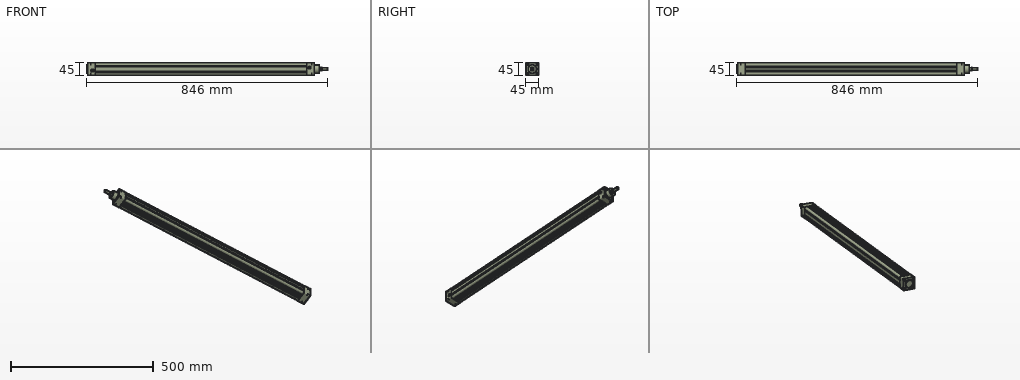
import cadquery as cq

TOTAL_LENGTH = 846.0
BODY_WIDTH = 45.0
REAR_BOSS_LENGTH = 3.0
REAR_BOSS_CHAMFER = 1.0
CAP_LENGTH = 26.0
TUBE_LENGTH = 743.0
FRONT_BOSS_LENGTH = 18.0
BOSS_DIAMETER = 30.0

CAP_CORNER_RADIUS = 4.0
MOUNT_HOLE_SPACING = 32.0
MOUNT_HOLE_DIAMETER = 6.0
MOUNT_HOLE_DEPTH = 10.0
PORT_DIAMETER = 8.5
PORT_DEPTH = 8.5
PORT_FROM_TUBE = 9.0
PORT_OFFSET = 5.0
SCREW_DIAMETER = 3.0
SCREW_DEPTH = 2.5
SCREW_FROM_TUBE = 13.5

TUBE_CORNER_RADIUS = 6.0
SLOT_WIDTH = 5.0
SLOT_DEPTH = 2.5
SLOT_OFFSET = 7.0
GROOVE_WIDTH = 4.0
GROOVE_OFFSET = 10.0

ROD_DIAMETER = 12.0
THREAD_DIAMETER = 10.0
THREAD_LENGTH = 20.0
THREAD_CHAMFER = 2.0
SHOULDER_LENGTH = 2.0
SHOULDER_CHAMFER = 1.0
FLAT_LENGTH = 8.0
FLAT_DEPTH = 0.7

TUBE_START = REAR_BOSS_LENGTH + CAP_LENGTH
TUBE_END = TUBE_START + TUBE_LENGTH
FRONT_CAP_END = TUBE_END + CAP_LENGTH
FRONT_BOSS_END = FRONT_CAP_END + FRONT_BOSS_LENGTH
HALF_WIDTH = BODY_WIDTH / 2


def square_bar(start, length):
    """Square bar along X of the full body width."""
    return (
        cq.Workplane("YZ", origin=(start, 0, 0))
        .rect(BODY_WIDTH, BODY_WIDTH)
        .extrude(length)
    )


def x_cylinder(start, length, diameter):
    """Round bar along X, centred on the cylinder axis."""
    return cq.Workplane("YZ", origin=(start, 0, 0)).circle(diameter / 2).extrude(length)


def mount_holes(outer_face, direction):
    """Four blind corner holes going into a cap from its outer end face."""
    return (
        cq.Workplane("YZ", origin=(outer_face, 0, 0))
        .rect(MOUNT_HOLE_SPACING, MOUNT_HOLE_SPACING, forConstruction=True)
        .vertices()
        .circle(MOUNT_HOLE_DIAMETER / 2)
        .extrude(direction * MOUNT_HOLE_DEPTH)
    )


def side_hole(x, z, diameter, depth):
    """Blind hole drilled into the -Y side."""
    return cq.Workplane("XZ", origin=(x, -HALF_WIDTH, z)).circle(diameter / 2).extrude(-depth)


def make_rear_cap():
    """Closed end cap with a short centring boss, an air port and a small screw hole beside it."""
    cap = square_bar(REAR_BOSS_LENGTH, CAP_LENGTH).edges("|X").fillet(CAP_CORNER_RADIUS)
    boss = x_cylinder(0, REAR_BOSS_LENGTH, BOSS_DIAMETER).faces("<X").chamfer(REAR_BOSS_CHAMFER)
    cap = cap.union(boss)
    cap = cap.cut(mount_holes(REAR_BOSS_LENGTH, 1))
    cap = cap.cut(side_hole(TUBE_START - PORT_FROM_TUBE, -PORT_OFFSET, PORT_DIAMETER, PORT_DEPTH))
    return cap.cut(side_hole(TUBE_START - SCREW_FROM_TUBE, -PORT_OFFSET, SCREW_DIAMETER, SCREW_DEPTH))


def make_front_cap():
    """Bearing cap with a long boss, an air port and a through bore for the rod."""
    cap = square_bar(TUBE_END, CAP_LENGTH).edges("|X").fillet(CAP_CORNER_RADIUS)
    cap = cap.union(x_cylinder(FRONT_CAP_END, FRONT_BOSS_LENGTH, BOSS_DIAMETER))
    cap = cap.cut(mount_holes(FRONT_CAP_END, -1))
    cap = cap.cut(side_hole(TUBE_END + PORT_FROM_TUBE, PORT_OFFSET, PORT_DIAMETER, PORT_DEPTH))
    return cap.cut(x_cylinder(TUBE_END, FRONT_BOSS_END - TUBE_END, ROD_DIAMETER))


def make_tube():
    """Profile tube with two flat slots above and below and two round grooves on each side."""
    tube = square_bar(TUBE_START, TUBE_LENGTH).edges("|X").fillet(TUBE_CORNER_RADIUS)
    profile = cq.Workplane("YZ", origin=(TUBE_START, 0, 0))
    for side in (-1, 1):
        slots = (
            profile.pushPoints([(-SLOT_OFFSET, side * HALF_WIDTH), (SLOT_OFFSET, side * HALF_WIDTH)])
            .rect(SLOT_WIDTH, 2 * SLOT_DEPTH)
            .extrude(TUBE_LENGTH)
        )
        grooves = (
            profile.pushPoints([(side * HALF_WIDTH, -GROOVE_OFFSET), (side * HALF_WIDTH, GROOVE_OFFSET)])
            .circle(GROOVE_WIDTH / 2)
            .extrude(TUBE_LENGTH)
        )
        tube = tube.cut(slots).cut(grooves)
    return tube


def make_rod():
    """Piston rod with wrench flats on its -Y and +Y sides and a plain cylindrical thread."""
    thread_start = TOTAL_LENGTH - THREAD_LENGTH
    shank = x_cylinder(TUBE_END, thread_start - TUBE_END, ROD_DIAMETER).faces(">X").chamfer(SHOULDER_CHAMFER)
    thread = x_cylinder(thread_start, THREAD_LENGTH, THREAD_DIAMETER).faces(">X").chamfer(THREAD_CHAMFER)
    flat_center = thread_start - SHOULDER_LENGTH - FLAT_LENGTH / 2
    for side in (-1, 1):
        flat = cq.Workplane("XY").box(FLAT_LENGTH, 2 * FLAT_DEPTH, ROD_DIAMETER)
        shank = shank.cut(flat.translate((flat_center, side * ROD_DIAMETER / 2, 0)))
    return shank.union(thread)


rear_cap = make_rear_cap()
tube = make_tube()
front_cap = make_front_cap()
rod = make_rod()

result = cq.Compound.makeCompound([rear_cap.val(), tube.val(), front_cap.val(), rod.val()])